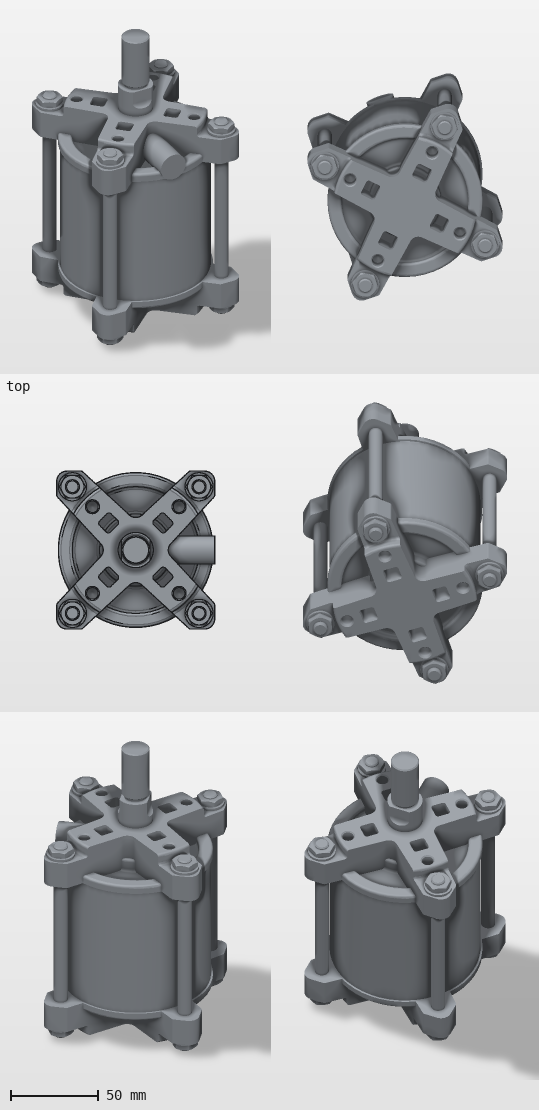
import cadquery as cq
import math

overall_height = 174.4
square_side = 90.0

head_height = 22.8
lug_height = 16.0
flange_height = 4.9
hub_height = 8.0
recess_floor = 0.5
edge_round = 1.5

lower_pad_z = 1.0
tube_length = 79.9
lower_face_z = lower_pad_z + head_height
upper_face_z = lower_face_z + tube_length
upper_pad_z = upper_face_z + head_height

tube_diameter = 86.0
flange_radius = 44.1
recess_radius = 36.1
hub_radius = 20.5
pad_radius = 41.0

arm_root_half_width = 12.2
arm_taper = 0.0388
arm_valley_radius = 5.0
lug_corner_radius = 6.0
lug_shoulder_radius = 1.7

slot_radius = 21.8
slot_length = 8.7
slot_width = 9.2
slot_corner_radius = 1.5

mount_hole_radius = 34.9
mount_hole_diameter = 6.6
mount_hole_mouth = 8.0
mount_hole_depth = 12.2
drill_point_angle = 118.0

port_diameter = 16.0
port_axis_height = 7.0

tie_rod_pitch = 72.0
tie_rod_diameter = 8.0
tie_rod_top_z = 126.6
tie_rod_chamfer = 0.7
washer_diameter = 16.0
washer_thickness = 1.5
nut_flats = 13.0
nut_height = 3.8
nut_chamfer_angle = 30.0

collar_diameter = 20.0
collar_top_z = 142.3
flat_bottom_z = 134.8
flat_run_out_radius = 3.7
thread_diameter = 16.0
thread_bottom_z = 144.8
thread_tip_chamfer = 0.7
neck_diameter = 13.0
neck_top_z = 143.7

half_side = square_side / 2
tie_rod_offset = tie_rod_pitch / 2
arm_angles = [45, 135, 225, 315]


def revolve_about_z(profile):
    """Turn a closed XZ-plane profile a full revolution about Z."""
    return profile.close().revolve(360, (0, 0, 0), (0, 1, 0))


def around_arms(shape):
    """Four copies of a shape lying on +X, one turned onto each arm."""
    copies = cq.Workplane("XY")
    for angle in arm_angles:
        copies = copies.union(shape.rotate((0, 0, 0), (0, 0, 1), angle))
    return copies


def is_valley(edge):
    """Inner edge where two neighbouring arms meet."""
    center = edge.Center()
    return math.hypot(center.x, center.y) < hub_radius


def is_corner(edge):
    """Outermost edge of a lug, at a corner of the square."""
    center = edge.Center()
    return math.isclose(abs(center.x), abs(center.y)) and not is_valley(edge)


def is_shoulder(edge):
    """Edge where a side of an arm meets a side of the square."""
    return not is_valley(edge) and not is_corner(edge)


def make_cross():
    """Four tapered arms at 45 degrees, squared off at the lugs."""
    arm_length = square_side
    tip_half_width = arm_root_half_width - arm_taper * arm_length
    arm = (
        cq.Workplane("XY")
        .polyline([
            (0, -arm_root_half_width),
            (arm_length, -tip_half_width),
            (arm_length, tip_half_width),
            (0, arm_root_half_width),
        ])
        .close()
        .extrude(head_height)
    )
    square = cq.Workplane("XY").rect(square_side, square_side).extrude(head_height)
    cross = around_arms(arm).intersect(square)

    for selected, radius in (
        (is_valley, arm_valley_radius),
        (is_shoulder, lug_shoulder_radius),
        (is_corner, lug_corner_radius),
    ):
        cross = cross.edges("|Z").filter(selected).fillet(radius)
    return cross


def make_pad_envelope():
    """Round raised pad above a wide plate at lug height, with rounded steps."""
    return revolve_about_z(
        cq.Workplane("XZ")
        .moveTo(0, 0)
        .lineTo(square_side, 0)
        .lineTo(square_side, lug_height)
        .lineTo(pad_radius + edge_round, lug_height)
        .tangentArcPoint((pad_radius, lug_height + edge_round), relative=False)
        .lineTo(pad_radius, head_height - edge_round)
        .tangentArcPoint((pad_radius - edge_round, head_height), relative=False)
        .lineTo(0, head_height)
    )


def make_flange():
    """Round flange with a raised rim, an annular recess and a central hub."""
    return revolve_about_z(
        cq.Workplane("XZ")
        .moveTo(0, 0)
        .lineTo(flange_radius, 0)
        .lineTo(flange_radius, flange_height - edge_round)
        .tangentArcPoint((flange_radius - edge_round, flange_height), relative=False)
        .lineTo(recess_radius + edge_round, flange_height)
        .tangentArcPoint((recess_radius, flange_height - edge_round), relative=False)
        .lineTo(recess_radius, recess_floor + edge_round)
        .tangentArcPoint((recess_radius - edge_round, recess_floor), relative=False)
        .lineTo(hub_radius + edge_round, recess_floor)
        .tangentArcPoint((hub_radius, recess_floor + edge_round), relative=False)
        .lineTo(hub_radius, hub_height - edge_round)
        .tangentArcPoint((hub_radius - edge_round, hub_height), relative=False)
        .lineTo(0, hub_height)
    )


def make_slots():
    """One rounded rectangular slot through each arm."""
    slot = (
        cq.Workplane("XY")
        .center(slot_radius, 0)
        .rect(slot_length, slot_width)
        .extrude(head_height)
        .edges("|Z")
        .fillet(slot_corner_radius)
    )
    return around_arms(slot)


def make_mount_holes():
    """One blind drilled hole with a countersunk mouth in each arm."""
    hole_radius = mount_hole_diameter / 2
    mouth_radius = mount_hole_mouth / 2
    mouth_depth = mouth_radius - hole_radius
    hole_end = head_height - mount_hole_depth
    point_depth = hole_radius / math.tan(math.radians(drill_point_angle / 2))
    hole = revolve_about_z(
        cq.Workplane("XZ")
        .moveTo(0, head_height)
        .lineTo(mouth_radius, head_height)
        .lineTo(hole_radius, head_height - mouth_depth)
        .lineTo(hole_radius, hole_end)
        .lineTo(0, hole_end - point_depth)
    )
    return around_arms(hole.translate((mount_hole_radius, 0, 0)))


def make_head():
    arms = make_cross().intersect(make_pad_envelope())
    arms = arms.cut(make_slots()).cut(make_mount_holes())
    return arms.union(make_flange())


def make_nut():
    """Hexagon nut standing on z = 0, corners along X, both ends chamfered."""
    corner_radius = nut_flats / 2 / math.cos(math.radians(30))
    face_radius = nut_flats / 2
    drop = (corner_radius - face_radius) * math.tan(math.radians(nut_chamfer_angle))
    hexagon = cq.Workplane("XY").polygon(6, 2 * corner_radius).extrude(nut_height)
    envelope = revolve_about_z(
        cq.Workplane("XZ")
        .moveTo(0, 0)
        .lineTo(face_radius, 0)
        .lineTo(corner_radius, drop)
        .lineTo(corner_radius, nut_height - drop)
        .lineTo(face_radius, nut_height)
        .lineTo(0, nut_height)
    )
    return hexagon.intersect(envelope)


def make_tie_rod():
    lower_lug_z = lower_face_z - lug_height
    upper_lug_z = upper_face_z + lug_height
    rod = (
        cq.Workplane("XY")
        .circle(tie_rod_diameter / 2)
        .extrude(tie_rod_top_z)
        .faces("<Z or >Z")
        .chamfer(tie_rod_chamfer)
    )
    washer = cq.Workplane("XY").circle(washer_diameter / 2).extrude(washer_thickness)
    nut = make_nut()
    return (
        rod.union(washer.translate((0, 0, upper_lug_z)))
        .union(nut.translate((0, 0, upper_lug_z + washer_thickness)))
        .union(washer.translate((0, 0, lower_lug_z - washer_thickness)))
        .union(nut.translate((0, 0, lower_lug_z - washer_thickness - nut_height)))
    )


def make_port():
    """Round port boss running from the axis to the +X side of the upper head."""
    axis_z = upper_face_z + port_axis_height
    return (
        cq.Workplane("YZ", origin=(0, 0, axis_z))
        .circle(port_diameter / 2)
        .extrude(half_side)
    )


def make_housing():
    head = make_head()
    housing = (
        cq.Workplane("XY", origin=(0, 0, lower_face_z))
        .circle(tube_diameter / 2)
        .extrude(tube_length)
        .union(head.translate((0, 0, upper_face_z)))
        .union(head.mirror("XY").translate((0, 0, lower_face_z)))
        .union(make_port())
    )
    tie_rod = make_tie_rod()
    for x in (-tie_rod_offset, tie_rod_offset):
        for y in (-tie_rod_offset, tie_rod_offset):
            housing = housing.union(tie_rod.translate((x, y, 0)))
    return housing


def make_flat_cutter():
    """Removes material beyond the +X spanner flat, with a round run-out at its foot."""
    flat_x = thread_diameter / 2
    run_out_x = flat_x + flat_run_out_radius
    return (
        cq.Workplane("XZ")
        .moveTo(flat_x, collar_top_z)
        .lineTo(flat_x, flat_bottom_z)
        .tangentArcPoint((run_out_x, flat_bottom_z - flat_run_out_radius), relative=False)
        .lineTo(run_out_x, collar_top_z)
        .close()
        .extrude(collar_diameter, both=True)
    )


def make_piston_rod():
    collar_radius = collar_diameter / 2
    thread_radius = thread_diameter / 2
    neck_radius = neck_diameter / 2
    rod = revolve_about_z(
        cq.Workplane("XZ")
        .moveTo(0, upper_pad_z)
        .lineTo(collar_radius, upper_pad_z)
        .lineTo(collar_radius, collar_top_z)
        .lineTo(neck_radius, collar_top_z)
        .lineTo(neck_radius, neck_top_z)
        .lineTo(thread_radius, thread_bottom_z)
        .lineTo(thread_radius, overall_height - thread_tip_chamfer)
        .lineTo(thread_radius - thread_tip_chamfer, overall_height)
        .lineTo(0, overall_height)
    )
    flat_cutter = make_flat_cutter()
    return rod.cut(flat_cutter).cut(flat_cutter.mirror("YZ"))


housing = make_housing()
piston_rod = make_piston_rod()

result = cq.Compound.makeCompound([housing.val(), piston_rod.val()])